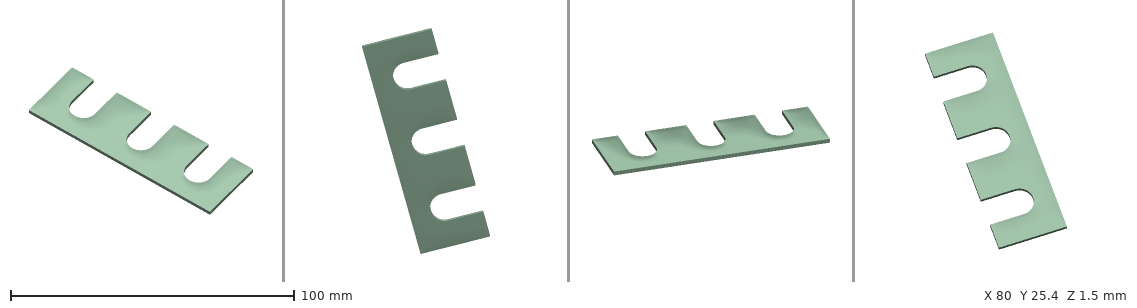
import cadquery as cq

length = 80.0
width = 25.4
thickness = 1.5

slot_count = 3
slot_pitch = 25.4
slot_width = 10.2
slot_depth = 17.8

slot_radius = slot_width / 2
open_edge_y = width / 2
arc_center_y = open_edge_y - slot_depth + slot_radius


def open_slot(center_x):
    """Cutter for one slot: straight sides closed by a half circle."""
    left = center_x - slot_radius
    right = center_x + slot_radius
    return (
        cq.Workplane("XY")
        .moveTo(left, open_edge_y)
        .lineTo(left, arc_center_y)
        .threePointArc((center_x, arc_center_y - slot_radius), (right, arc_center_y))
        .lineTo(right, open_edge_y)
        .close()
        .extrude(thickness)
    )


result = cq.Workplane("XY").box(length, width, thickness, centered=(True, True, False))

for index in range(slot_count):
    slot_x = (index - (slot_count - 1) / 2) * slot_pitch
    result = result.cut(open_slot(slot_x))